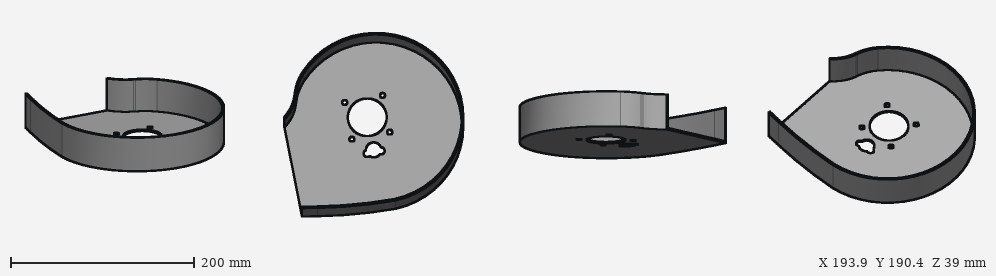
import cadquery as cq
import math


length = 193.87
height = 39.0
floor_thickness = 2.0
wall_thickness = 2.0

volute_radius = 95.24
volute_x = 7.75
volute_y = -11.25

mouth_x = volute_x + volute_radius - length
overrun = 3.0
outline_left = mouth_x - overrun

tongue_angle = math.radians(137.4)
tongue_start = (
    volute_x + volute_radius * math.cos(tongue_angle),
    volute_y + volute_radius * math.sin(tongue_angle),
)
tongue_neck_start = (-74.6, 32.0)
tongue_neck_end = (-75.2, 30.1)
tongue_end = (outline_left, 6.1)

lower_wall_start = (outline_left, -95.2)
lower_wall_bend = (-74.3, -98.6)
lower_wall_join_x = 11.0
lower_wall_join = (
    lower_wall_join_x,
    volute_y - math.sqrt(volute_radius**2 - (lower_wall_join_x - volute_x) ** 2),
)

motor_opening_diameter = 42.26
mounting_hole_diameter = 5.5
mounting_hole_spacing = 42.0

cable_circle_radius = 8.4
cable_circle_y = -37.2
cable_lobe_radius = 4.0
cable_lobe_x = 7.6
cable_lobe_y = -39.8


def volute_outline(base_z):
    """Closed outer outline, overrunning the mouth plane."""
    return (
        cq.Workplane("XY", origin=(0, 0, base_z))
        .moveTo(*lower_wall_start)
        .lineTo(*lower_wall_bend)
        .tangentArcPoint(lower_wall_join, relative=False)
        .threePointArc((volute_x + volute_radius, volute_y), (volute_x, volute_y + volute_radius))
        .tangentArcPoint(tongue_start, relative=False)
        .tangentArcPoint(tongue_neck_start, relative=False)
        .lineTo(*tongue_neck_end)
        .tangentArcPoint(tongue_end, relative=False)
        .close()
    )


def make_tray():
    """Floor with a constant-thickness wall, cut off square at the mouth."""
    body = volute_outline(0).extrude(height)
    cavity = volute_outline(floor_thickness).offset2D(-wall_thickness).extrude(height)
    mouth_y = (lower_wall_start[1] + tongue_end[1]) / 2
    beyond_mouth = (
        cq.Workplane("XY", origin=(outline_left, mouth_y, 0))
        .box(overrun, 2 * volute_radius, height, centered=(False, True, False))
    )
    return body.cut(cavity).cut(beyond_mouth)


def floor_cutter(points, radius):
    """Cylinders that pass through the floor at the given points."""
    return cq.Workplane("XY").pushPoints(points).circle(radius).extrude(floor_thickness)


def cut_motor_openings(tray):
    half = mounting_hole_spacing / 2
    corners = [(sx * half, sy * half) for sx in (-1, 1) for sy in (-1, 1)]
    tray = tray.cut(floor_cutter([(0, 0)], motor_opening_diameter / 2))
    return tray.cut(floor_cutter(corners, mounting_hole_diameter / 2))


def cut_cable_opening(tray):
    lobes = [(side * cable_lobe_x, cable_lobe_y) for side in (-1, 1)]
    tray = tray.cut(floor_cutter([(0, cable_circle_y)], cable_circle_radius))
    return tray.cut(floor_cutter(lobes, cable_lobe_radius))


result = cut_cable_opening(cut_motor_openings(make_tray()))